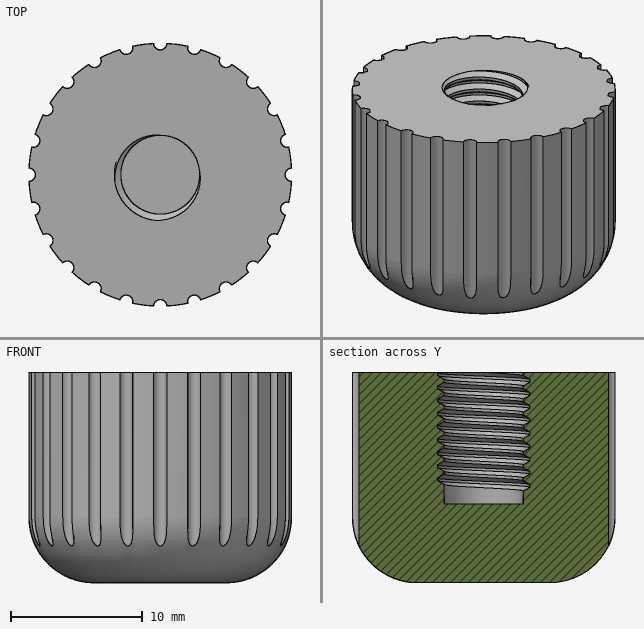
import cadquery as cq
import math

diameter = 20.0
radius = diameter / 2
height = 16.0
base_fillet = 5.0

flute_count = 24
flute_radius = 0.5

bore_radius = 3.0
thread_major_radius = 3.5
thread_pitch = 1.0
thread_root_width = 0.2
thread_flank_angle = 30.0
thread_exit_angle = 228.0
bore_depth = 9.99
thread_turns = 10
turns_above_top = 1
bore_seam_angle = -90.0
cutter_overlap = 0.05


def make_body():
    cylinder = cq.Workplane("XY").circle(radius).extrude(height)
    return cylinder.faces("<Z").edges().fillet(base_fillet)


def make_flutes():
    return (
        cq.Workplane("XY")
        .polarArray(radius, 0, 360, flute_count)
        .circle(flute_radius)
        .extrude(height)
    )


def make_bore():
    bore = cq.Workplane("XY", origin=(0, 0, height - bore_depth)).circle(bore_radius).extrude(bore_depth)
    return bore.rotate((0, 0, 0), (0, 0, 1), bore_seam_angle)


def make_thread_cutter():
    """Right-handed trapezoidal groove that runs out through the top face."""
    inner_radius = bore_radius - cutter_overlap
    flank_rise = (thread_major_radius - inner_radius) * math.tan(math.radians(thread_flank_angle))
    root_half = thread_root_width / 2
    mouth_half = root_half + flank_rise
    helix = cq.Wire.makeHelix(thread_pitch, thread_turns * thread_pitch, bore_radius)
    groove = (
        cq.Workplane("XZ")
        .polyline(
            [
                (inner_radius, -mouth_half),
                (thread_major_radius, -root_half),
                (thread_major_radius, root_half),
                (inner_radius, mouth_half),
            ]
        )
        .close()
        .sweep(cq.Workplane(obj=helix), isFrenet=True)
    )
    start_height = height - (thread_turns - turns_above_top) * thread_pitch
    return groove.rotate((0, 0, 0), (0, 0, 1), thread_exit_angle).translate((0, 0, start_height))


result = make_body().cut(make_flutes()).cut(make_thread_cutter()).cut(make_bore())